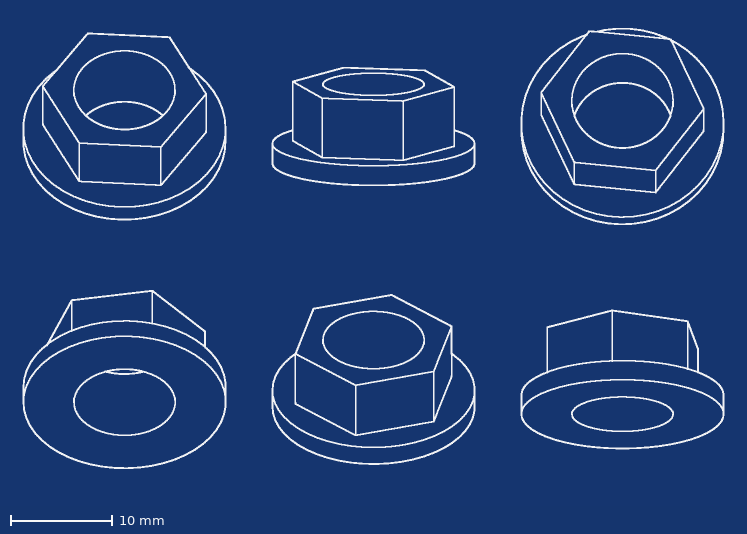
import cadquery as cq
import math

flange_diameter = 20.0
flange_thickness = 2.0
total_height = 8.0
bore_diameter = 10.0
hex_across_flats = 14.0

hex_sides = 6
hex_height = total_height - flange_thickness
hex_across_corners = hex_across_flats / math.cos(math.pi / hex_sides)

flange = cq.Workplane("XY").circle(flange_diameter / 2).extrude(flange_thickness)

hex_body = (
    cq.Workplane("XY")
    .workplane(offset=flange_thickness)
    .polygon(hex_sides, hex_across_corners)
    .extrude(hex_height)
)

bore = cq.Workplane("XY").circle(bore_diameter / 2).extrude(total_height)

result = flange.union(hex_body).cut(bore)